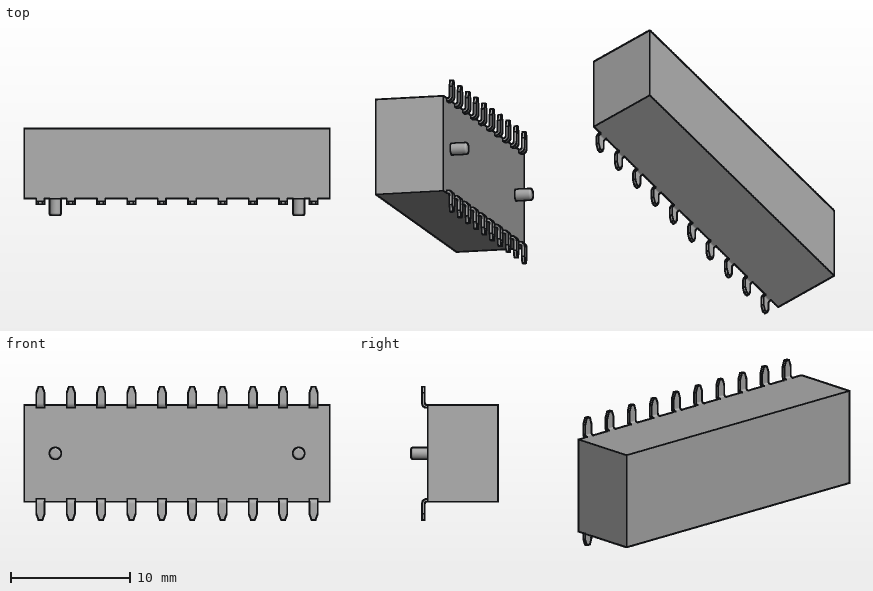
import cadquery as cq

body_length = 25.6
body_depth = 5.9
body_height = 8.12

peg_diameter = 1.0
peg_length = 1.4
peg_edge_radius = 0.2
peg_spacing = 20.38

tail_count = 10
tail_row_length = 22.85
tail_pitch = tail_row_length / (tail_count - 1)
tail_width = 0.72
tail_thickness = 0.25
tail_standoff = 0.49
tail_span = 11.2
tail_root_inset = 0.25
bend_outer_radius = 0.4
bend_inner_radius = bend_outer_radius - tail_thickness
tip_length = 0.55
tip_width = 0.33
tail_embed = 0.25

mount_y = -body_depth / 2


def make_body():
    return cq.Workplane("XY").box(body_length, body_depth, body_height)


def make_peg(x):
    """Round peg with a rounded end, pointing to -Y."""
    peg = cq.Workplane("XZ", origin=(x, mount_y, 0)).circle(peg_diameter / 2).extrude(peg_length)
    return peg.faces("<Y").edges().fillet(peg_edge_radius)


def make_tail():
    """Upper tail at X = 0: an L-shaped strip trimmed to a tapered tip."""
    root_z = body_height / 2 - tail_root_inset
    tip_z = tail_span / 2
    outer_y = mount_y - tail_standoff
    inner_y = outer_y + tail_thickness
    embed_y = mount_y + tail_embed

    strip = (
        cq.Workplane("YZ")
        .moveTo(embed_y, root_z)
        .lineTo(outer_y + bend_outer_radius, root_z)
        .radiusArc((outer_y, root_z + bend_outer_radius), bend_outer_radius)
        .lineTo(outer_y, tip_z)
        .lineTo(inner_y, tip_z)
        .lineTo(inner_y, root_z + bend_outer_radius)
        .radiusArc((inner_y + bend_inner_radius, root_z + tail_thickness), -bend_inner_radius)
        .lineTo(embed_y, root_z + tail_thickness)
        .close()
        .extrude(tail_width / 2, both=True)
    )

    shoulder_z = tip_z - tip_length
    outline = (
        cq.Workplane("XZ", origin=(0, embed_y, 0))
        .moveTo(-tail_width / 2, root_z)
        .lineTo(-tail_width / 2, shoulder_z)
        .lineTo(-tip_width / 2, tip_z)
        .lineTo(tip_width / 2, tip_z)
        .lineTo(tail_width / 2, shoulder_z)
        .lineTo(tail_width / 2, root_z)
        .close()
        .extrude(tail_embed + tail_standoff)
    )
    return strip.intersect(outline)


result = make_body()

for side in (-1, 1):
    result = result.union(make_peg(side * peg_spacing / 2))

upper_tail = make_tail()
lower_tail = upper_tail.mirror("XY")
for index in range(tail_count):
    x = index * tail_pitch - tail_row_length / 2
    result = result.union(upper_tail.translate((x, 0, 0)))
    result = result.union(lower_tail.translate((x, 0, 0)))